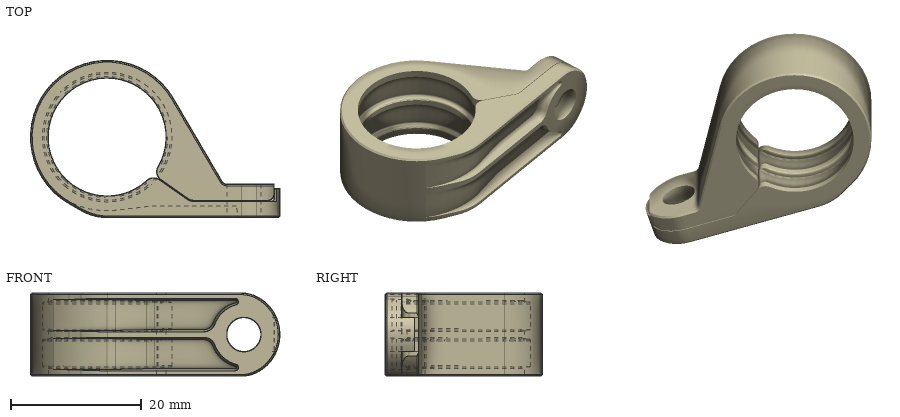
import cadquery as cq
import math

WIDTH = 12.7
RING_RADIUS = 11.7
BORE_RADIUS = 9.0
BASE_Y = -12.3
JAW_THICKNESS = 2.5
SLIT_GAP = 0.1
EDGE_CHAMFER = 0.25

LAND_WIDTH = 1.4
GROOVE_DEPTH = 0.9
GROOVE_ROUND = 0.25

FLANK_ANGLE = 30.4
HEEL_ANGLE = 30.0
FLANK_FILLET = 0.9
HEEL_RADIUS = 8.0

HOLE_X = 20.87
HOLE_DIAMETER = 5.2
END_RADIUS = 6.5
END_CENTRE_X = 19.88
END_BLEND_RADIUS = 5.1

SLIT_ANGLE = 35.0
SLIT_CORNER_X = 12.7
SLIT_CORNER_RADIUS = 1.7
MOUTH_RADIUS = 1.5
UPPER_JAW_END_X = 25.5
UPPER_JAW_TOE_RADIUS = 1.0

LIP_INNER_X = 25.55
LIP_TOP_Y = -7.86
LIP_HALF_WIDTH = 2.6
LIP_ROOT_RADIUS = 0.6

POCKET_DRAFT = 11.0
POCKET_OUTER_Z = 5.53
POCKET_RIB_HALF = 0.42
POCKET_DEPTH = 1.75
POCKET_STEP_DEPTH = 1.05
POCKET_START_X = -8.2
RUN_OUT_ANGLE = 3.0
POCKET_RAMP_X = (1.3, 6.0)
POCKET_FLAT_X = 7.2
PAD_RADIUS = 4.7
PAD_FILLET = 1.8
TIP_RADIUS = 0.5

HALF_WIDTH = WIDTH / 2
SLIT_LOWER_Y = BASE_Y + JAW_THICKNESS
SLIT_UPPER_Y = SLIT_LOWER_Y + SLIT_GAP
LUG_TOP_Y = SLIT_UPPER_Y + JAW_THICKNESS
END_X = END_CENTRE_X + END_RADIUS
BEYOND = 5.0


def polar_point(centre, angle, radius):
    """Point at an angle in radians on a circle about a centre."""
    return centre[0] + radius * math.cos(angle), centre[1] + radius * math.sin(angle)


def on_ring(degrees):
    """Point on the outer circle of the ring."""
    return polar_point((0, 0), math.radians(degrees), RING_RADIUS)


def outline_blank():
    """Ring and arm outline, extruded over the full width."""
    flank_angle = math.radians(FLANK_ANGLE)
    flank_top = on_ring(FLANK_ANGLE)
    flank_foot_x = flank_top[0] + (flank_top[1] - LUG_TOP_Y) * math.tan(flank_angle)
    heel_start = on_ring(-90 - HEEL_ANGLE)
    heel_slope = math.tan(math.radians(HEEL_ANGLE))
    heel_corner_x = heel_start[0] + (heel_start[1] - BASE_Y) / heel_slope
    outline = (
        cq.Workplane("XY", origin=(0, 0, -HALF_WIDTH))
        .moveTo(*flank_top)
        .threePointArc((-RING_RADIUS, 0), heel_start)
        .lineTo(heel_corner_x, BASE_Y)
        .lineTo(END_X + BEYOND, BASE_Y)
        .lineTo(END_X + BEYOND, LUG_TOP_Y)
        .lineTo(flank_foot_x, LUG_TOP_Y)
        .close()
        .extrude(WIDTH)
    )
    heel = cq.selectors.NearestToPointSelector((heel_corner_x, BASE_Y, 0))
    foot = cq.selectors.NearestToPointSelector((flank_foot_x, LUG_TOP_Y, 0))
    outline = outline.edges("|Z").edges(heel).fillet(HEEL_RADIUS)
    return outline.edges("|Z").edges(foot).fillet(FLANK_FILLET)


def end_envelope():
    """Block along Y that gives the lug its round end."""
    corner_x = END_CENTRE_X + math.sqrt(END_RADIUS**2 - HALF_WIDTH**2)
    start_x = -RING_RADIUS - BEYOND
    depth = RING_RADIUS + BEYOND
    return (
        cq.Workplane("XZ", origin=(0, depth, 0))
        .moveTo(start_x, HALF_WIDTH)
        .lineTo(corner_x, HALF_WIDTH)
        .threePointArc((END_X, 0), (corner_x, -HALF_WIDTH))
        .lineTo(start_x, -HALF_WIDTH)
        .close()
        .extrude(2 * depth)
        .edges("|Y")
        .edges(">X")
        .fillet(END_BLEND_RADIUS)
    )


def clamp_body():
    """Solid clamp body with its outer rims chamfered."""
    body = outline_blank().intersect(end_envelope())
    return body.edges("not (|Z or |Y)").chamfer(EDGE_CHAMFER)


def slit():
    """Cutter for the slit and the shortened end of the upper jaw, sparing the hook lip."""
    far_x = END_X + BEYOND
    slope = math.radians(SLIT_ANGLE)
    upper_corner_x = SLIT_CORNER_X + SLIT_GAP * math.tan(slope / 2)
    start_x = SLIT_CORNER_X - BORE_RADIUS
    start_y = SLIT_LOWER_Y + BORE_RADIUS * math.tan(slope)
    gap_rise = SLIT_GAP / math.cos(slope)
    cutter = (
        cq.Workplane("XY", origin=(0, 0, -HALF_WIDTH))
        .moveTo(start_x, start_y)
        .lineTo(SLIT_CORNER_X, SLIT_LOWER_Y)
        .lineTo(far_x, SLIT_LOWER_Y)
        .lineTo(far_x, LUG_TOP_Y + BEYOND)
        .lineTo(UPPER_JAW_END_X, LUG_TOP_Y + BEYOND)
        .lineTo(UPPER_JAW_END_X, SLIT_UPPER_Y)
        .lineTo(upper_corner_x, SLIT_UPPER_Y)
        .lineTo(start_x, start_y + gap_rise)
        .close()
        .extrude(WIDTH)
    )
    bends = cq.selectors.BoxSelector(
        (SLIT_CORNER_X - SLIT_GAP, SLIT_LOWER_Y - SLIT_GAP, -HALF_WIDTH),
        (upper_corner_x + SLIT_GAP, SLIT_UPPER_Y + SLIT_GAP, HALF_WIDTH),
    )
    cutter = cutter.edges(bends).edges("|Z").fillet(SLIT_CORNER_RADIUS)
    toe = cq.selectors.NearestToPointSelector((UPPER_JAW_END_X, SLIT_UPPER_Y, 0))
    return cutter.edges("|Z").edges(toe).fillet(UPPER_JAW_TOE_RADIUS).cut(hook_lip())


def hook_lip():
    """Upturned lip behind the end of the upper jaw, with a rounded root."""
    bend = LIP_ROOT_RADIUS * math.sqrt(0.5)
    root_x = LIP_INNER_X - LIP_ROOT_RADIUS
    root_y = SLIT_LOWER_Y + LIP_ROOT_RADIUS
    return (
        cq.Workplane("XY", origin=(0, 0, -LIP_HALF_WIDTH))
        .moveTo(root_x, SLIT_LOWER_Y)
        .threePointArc((root_x + bend, root_y - bend), (LIP_INNER_X, root_y))
        .lineTo(LIP_INNER_X, LIP_TOP_Y)
        .lineTo(END_X + BEYOND, LIP_TOP_Y)
        .lineTo(END_X + BEYOND, SLIT_LOWER_Y)
        .close()
        .extrude(2 * LIP_HALF_WIDTH)
    )


def lug_hole():
    """Screw hole through both jaws, along Y."""
    return (
        cq.Workplane("XZ", origin=(HOLE_X, LUG_TOP_Y, 0))
        .circle(HOLE_DIAMETER / 2)
        .extrude(LUG_TOP_Y - BASE_Y)
    )


def split_ring(body):
    """Bores the ring, opens the slit and rounds both jaws where they meet the bore."""
    core = cq.Workplane("XY", origin=(0, 0, -HALF_WIDTH)).circle(BORE_RADIUS).extrude(WIDTH)
    body = body.cut(core).cut(slit())
    mouth = cq.selectors.BoxSelector(
        (BORE_RADIUS / 2, -BORE_RADIUS, -HALF_WIDTH),
        (BORE_RADIUS, -BORE_RADIUS / 2, HALF_WIDTH),
    )
    return body.edges("|Z").edges(mouth).fillet(MOUTH_RADIUS)


def pocket_outline():
    """Outline of the upper pocket at the underside, drawn in X and Z."""
    left_x = POCKET_START_X
    fillet_z = POCKET_RIB_HALF + PAD_FILLET
    fillet_reach = PAD_RADIUS + PAD_FILLET
    fillet_x = HOLE_X - math.sqrt(fillet_reach**2 - fillet_z**2)
    tip_z = POCKET_OUTER_Z - TIP_RADIUS
    tip_reach = PAD_RADIUS + TIP_RADIUS
    tip_x = HOLE_X - math.sqrt(tip_reach**2 - tip_z**2)

    hole = (HOLE_X, 0)
    fillet_angle = math.atan2(fillet_z, fillet_x - HOLE_X)
    tip_angle = math.atan2(tip_z, tip_x - HOLE_X)
    fillet_end_angle = fillet_angle - math.pi
    fillet_middle = (fillet_end_angle - math.pi / 2) / 2
    tip_start_angle = tip_angle - math.pi
    tip_middle = (tip_start_angle + math.pi / 2) / 2
    return (
        cq.Workplane("XZ", origin=(0, BASE_Y, 0))
        .moveTo(left_x, POCKET_RIB_HALF)
        .lineTo(fillet_x, POCKET_RIB_HALF)
        .threePointArc(
            polar_point((fillet_x, fillet_z), fillet_middle, PAD_FILLET),
            polar_point(hole, fillet_angle, PAD_RADIUS),
        )
        .threePointArc(
            polar_point(hole, (fillet_angle + tip_angle) / 2, PAD_RADIUS),
            polar_point(hole, tip_angle, PAD_RADIUS),
        )
        .threePointArc(
            polar_point((tip_x, tip_z), tip_middle, TIP_RADIUS),
            (tip_x, POCKET_OUTER_Z),
        )
        .lineTo(left_x, POCKET_OUTER_Z)
        .close()
    )


def arm_floor():
    """Region below the pocket floor along the straight arm."""
    step_y = BASE_Y + POCKET_STEP_DEPTH
    flat_y = BASE_Y + POCKET_DEPTH
    ramp_start_x, ramp_end_x = POCKET_RAMP_X
    lower_corner_x = ramp_start_x / 2
    upper_corner_x = (ramp_end_x + POCKET_FLAT_X) / 2
    slope = (flat_y - step_y) / (upper_corner_x - lower_corner_x)
    return (
        cq.Workplane("XY", origin=(0, 0, -HALF_WIDTH))
        .moveTo(HOLE_X, BASE_Y - BEYOND)
        .lineTo(HOLE_X, flat_y)
        .lineTo(POCKET_FLAT_X, flat_y)
        .tangentArcPoint(
            (ramp_end_x, flat_y - slope * (upper_corner_x - ramp_end_x)), relative=False
        )
        .lineTo(ramp_start_x, step_y + slope * (ramp_start_x - lower_corner_x))
        .tangentArcPoint((0, step_y), relative=False)
        .lineTo(0, BASE_Y - BEYOND)
        .close()
        .extrude(WIDTH)
    )


def arm_pocket():
    """Part of the upper pocket along the straight arm, with drafted walls."""
    prism = pocket_outline().extrude(-POCKET_DEPTH, taper=POCKET_DRAFT)
    return prism.intersect(arm_floor())


def ring_pocket():
    """Part of the upper pocket that runs out on the ring, with drafted walls."""
    start_y = -math.sqrt(RING_RADIUS**2 - POCKET_START_X**2)
    floor_y = BASE_Y + POCKET_STEP_DEPTH
    rise = start_y - floor_y
    radius = (POCKET_START_X**2 + rise**2) / (2 * rise)
    sweep = math.degrees(math.asin(-POCKET_START_X / radius))
    flare = math.tan(math.radians(POCKET_DRAFT))
    inset = POCKET_STEP_DEPTH * flare
    height = 2 * POCKET_STEP_DEPTH
    return (
        cq.Workplane("YZ", origin=(0, floor_y + radius, 0))
        .polyline(
            [
                (-radius, POCKET_RIB_HALF + inset),
                (-radius, POCKET_OUTER_Z - inset),
                (-radius - height, POCKET_OUTER_Z - inset + height * flare),
                (-radius - height, POCKET_RIB_HALF + inset - height * flare),
            ]
        )
        .close()
        .revolve(sweep + RUN_OUT_ANGLE, (0, 0), (0, -1))
    )


def grooved_bore():
    """Bore with two grooves whose edges are rounded."""
    core = cq.Workplane("XY", origin=(0, 0, -HALF_WIDTH)).circle(BORE_RADIUS).extrude(WIDTH)
    groove_width = (WIDTH - 3 * LAND_WIDTH) / 2
    groove_radius = BORE_RADIUS + GROOVE_DEPTH
    for side in (-1, 1):
        centre_z = side * (LAND_WIDTH + groove_width) / 2
        groove = (
            cq.Workplane("XY", origin=(0, 0, centre_z - groove_width / 2))
            .circle(groove_radius)
            .extrude(groove_width)
            .edges()
            .fillet(GROOVE_ROUND)
        )
        core = core.union(groove)
        for edge_side in (-1, 1):
            core = core.union(land_rounding(centre_z + edge_side * groove_width / 2, edge_side))
    return core


def land_rounding(wall_z, side):
    """Ring that rounds a land edge; the land lies on the given side of the groove wall."""
    round_z = wall_z + side * GROOVE_ROUND
    sweep = GROOVE_ROUND * math.sqrt(0.5)
    middle = (BORE_RADIUS + GROOVE_ROUND - sweep, round_z - side * sweep)
    return (
        cq.Workplane("XZ")
        .moveTo(BORE_RADIUS - GROOVE_ROUND, wall_z)
        .lineTo(BORE_RADIUS + GROOVE_ROUND, wall_z)
        .threePointArc(middle, (BORE_RADIUS, round_z))
        .lineTo(BORE_RADIUS - GROOVE_ROUND, round_z)
        .close()
        .revolve(360, (0, 0), (0, 1))
    )


result = split_ring(clamp_body()).cut(grooved_bore())
for pocket in (arm_pocket(), ring_pocket()):
    result = result.cut(pocket).cut(pocket.mirror("XY"))
result = result.cut(lug_hole())